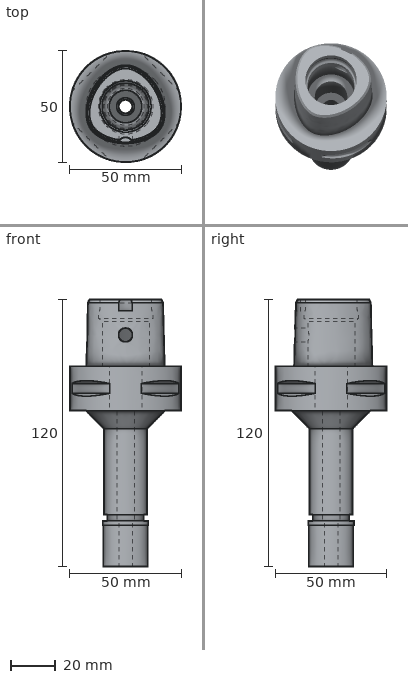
import cadquery as cq
import math

total_height = 120.0
flange_top = 90.0
flange_bottom = 70.1
neck_cone_bottom = 62.0
shaft_bottom = 23.4
nut_top = 20.5
nut_collar_bottom = 18.7

flange_radius = 25.02
shaft_radius = 9.7
cone_top_radius = shaft_radius + flange_bottom - neck_cone_bottom
relief_radius = 8.3

nut_radius = 10.1
nut_collar_radius = 10.3
nut_bore_radius = 3.0

shank_base_radius = 17.6
shank_tip_radius = 16.9
shank_rim_radius = 16.1
lobe_height = 1.0
rim_chamfer_height = 1.5
outline_points = 48

mouth_radius = 11.5
mouth_groove_radius = 12.2
clamp_bore_radius = 10.5
thread_radius = 7.3
coolant_radius = 4.0
mouth_bottom = total_height - 4.2
groove_flare_bottom = mouth_bottom - 2.4
groove_bottom = groove_flare_bottom - 1.8
seat_bottom = groove_bottom - 1.3
clamp_bore_bottom = flange_top
thread_bottom = flange_bottom

notch_radius = 3.2
notch_depth = 5.2
notch_center_y = -17.0
side_hole_radius = 3.1
side_hole_height = 104.0

slot_count = 4
slot_first_angle = 45
slot_floor_distance = 22.0
slot_middle_height = 80.0
slot_floor_half_height = 2.2
slot_mouth_half_height = 3.5


def revolve_profile(points):
    """Revolve a closed (radius, height) outline around Z."""
    return cq.Workplane("XZ").polyline(points).close().revolve(360, (0, 0), (0, 1))


def lobed_wire(mean_radius, height):
    """Constant-width three-lobed outline with one lobe toward +Y."""
    points = []
    for i in range(outline_points):
        angle = 2 * math.pi * i / outline_points
        phase = 3 * (angle - math.pi / 2)
        support = mean_radius + lobe_height * math.cos(phase)
        slope = -3 * lobe_height * math.sin(phase)
        x = support * math.cos(angle) - slope * math.sin(angle)
        y = support * math.sin(angle) + slope * math.cos(angle)
        points.append(cq.Vector(x, y, height))
    return cq.Wire.assembleEdges([cq.Edge.makeSpline(points, periodic=True)])


def make_shank():
    chamfer_start = total_height - rim_chamfer_height
    base = lobed_wire(shank_base_radius, flange_top)
    tip = lobed_wire(shank_tip_radius, chamfer_start)
    rim = lobed_wire(shank_rim_radius, total_height)
    taper = cq.Solid.makeLoft([base, tip], True)
    chamfer = cq.Solid.makeLoft([tip, rim], True)
    return cq.Workplane(taper).union(cq.Workplane(chamfer))


def make_flange_and_shaft():
    return revolve_profile([
        (0, flange_top),
        (flange_radius, flange_top),
        (flange_radius, flange_bottom),
        (cone_top_radius, flange_bottom),
        (shaft_radius, neck_cone_bottom),
        (shaft_radius, shaft_bottom),
        (relief_radius, shaft_bottom),
        (relief_radius, nut_top),
        (0, nut_top),
    ])


def make_bore():
    return revolve_profile([
        (0, total_height),
        (mouth_radius, total_height),
        (mouth_radius, mouth_bottom),
        (mouth_groove_radius, groove_flare_bottom),
        (mouth_groove_radius, groove_bottom),
        (clamp_bore_radius, seat_bottom),
        (clamp_bore_radius, clamp_bore_bottom),
        (thread_radius, clamp_bore_bottom),
        (thread_radius, thread_bottom),
        (coolant_radius, thread_bottom),
        (coolant_radius, nut_top),
        (0, nut_top),
    ])


def make_key_notch():
    return (
        cq.Workplane("XY", origin=(0, notch_center_y, total_height))
        .circle(notch_radius)
        .extrude(-notch_depth)
    )


def make_side_hole():
    """Radial hole from the -Y face into the central bore."""
    return (
        cq.Workplane("XZ", origin=(0, 0, side_hole_height))
        .circle(side_hole_radius)
        .extrude(flange_radius)
    )


def make_gripper_slot(angle):
    """Flat-floored slot with flared sides, cut across the flange rim."""
    return (
        cq.Workplane("XZ", origin=(0, 0, slot_middle_height))
        .moveTo(slot_floor_distance, -slot_floor_half_height)
        .lineTo(flange_radius, -slot_mouth_half_height)
        .lineTo(flange_radius, slot_mouth_half_height)
        .lineTo(slot_floor_distance, slot_floor_half_height)
        .close()
        .extrude(flange_radius, both=True)
        .rotate((0, 0, 0), (0, 0, 1), angle)
    )


def make_holder():
    holder = make_flange_and_shaft().union(make_shank())
    holder = holder.cut(make_bore()).cut(make_key_notch()).cut(make_side_hole())
    for i in range(slot_count):
        holder = holder.cut(make_gripper_slot(slot_first_angle + i * 360 / slot_count))
    return holder


def make_nut():
    """Collared clamping nut that butts against the end of the holder."""
    return revolve_profile([
        (nut_bore_radius, 0),
        (nut_radius, 0),
        (nut_radius, nut_collar_bottom),
        (nut_collar_radius, nut_collar_bottom),
        (nut_collar_radius, nut_top),
        (nut_bore_radius, nut_top),
    ])


holder = make_holder()
nut = make_nut()
result = cq.Compound.makeCompound([holder.val(), nut.val()])